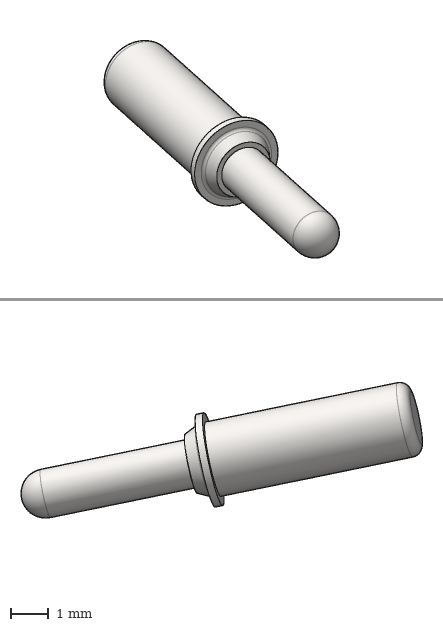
import cadquery as cq
import math

overall_length = 10.7
flange_start = 5.5
flange_thickness = 0.2
collar_length = 0.4

barrel_radius = 1.01
barrel_rounding = 0.3
flange_radius = 1.25
collar_end_radius = 0.8
collar_fillet = 0.11
pin_radius = 0.65

collar_taper_angle = math.radians(25)

flange_end = flange_start + flange_thickness
collar_end = flange_end + collar_length
tip_start = overall_length - pin_radius

fillet_end_x = flange_end + collar_fillet * (1 - math.sin(collar_taper_angle))
fillet_end_radius = collar_end_radius + (collar_end - fillet_end_x) * math.tan(collar_taper_angle)
fillet_centre_x = flange_end + collar_fillet
fillet_centre_radius = fillet_end_radius + collar_fillet * math.cos(collar_taper_angle)
fillet_middle_angle = (math.pi / 2 - collar_taper_angle) / 2
fillet_middle = (
    fillet_centre_x - collar_fillet * math.cos(fillet_middle_angle),
    fillet_centre_radius - collar_fillet * math.sin(fillet_middle_angle),
)

cos_45 = math.cos(math.radians(45))
rounding_inset = barrel_rounding * (1 - cos_45)
rounding_middle = (rounding_inset, barrel_radius - rounding_inset)
tip_middle = (tip_start + pin_radius * cos_45, pin_radius * cos_45)

half_section = (
    cq.Workplane("XY")
    .moveTo(0, 0)
    .lineTo(0, barrel_radius - barrel_rounding)
    .threePointArc(rounding_middle, (barrel_rounding, barrel_radius))
    .lineTo(flange_start, barrel_radius)
    .lineTo(flange_start, flange_radius)
    .lineTo(flange_end, flange_radius)
    .lineTo(flange_end, fillet_centre_radius)
    .threePointArc(fillet_middle, (fillet_end_x, fillet_end_radius))
    .lineTo(collar_end, collar_end_radius)
    .lineTo(collar_end, pin_radius)
    .lineTo(tip_start, pin_radius)
    .threePointArc(tip_middle, (overall_length, 0))
    .close()
)

result = half_section.revolve(360, (0, 0, 0), (1, 0, 0))